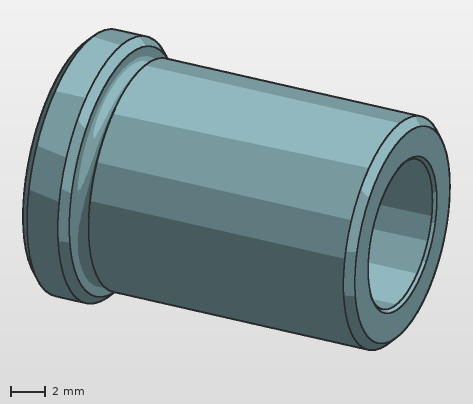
import cadquery as cq

length = 21.0
head_diameter = 16.0
body_diameter = 14.0
bore_diameter = 9.0
head_length = 3.0

head_chamfer = 0.5
body_chamfer = 0.5
bore_chamfer = 0.19
groove_width = 1.0
groove_depth = 0.5

head_radius = head_diameter / 2
body_radius = body_diameter / 2
bore_radius = bore_diameter / 2
groove_radius = body_radius - groove_depth
groove_end = head_length + groove_width
groove_middle = head_length + groove_width / 2


def bushing_profile():
    """Half section as (axial position, radius), including the relief groove under the head."""
    return (
        cq.Workplane("XY")
        .moveTo(0, bore_radius + bore_chamfer)
        .lineTo(0, head_radius - head_chamfer)
        .lineTo(head_chamfer, head_radius)
        .lineTo(head_length - head_chamfer, head_radius)
        .lineTo(head_length, head_radius - head_chamfer)
        .lineTo(head_length, body_radius)
        .radiusArc((groove_middle, groove_radius), -groove_depth)
        .radiusArc((groove_end, body_radius), -groove_depth)
        .lineTo(length - body_chamfer, body_radius)
        .lineTo(length, body_radius - body_chamfer)
        .lineTo(length, bore_radius + bore_chamfer)
        .lineTo(length - bore_chamfer, bore_radius)
        .lineTo(bore_chamfer, bore_radius)
        .close()
    )


result = bushing_profile().revolve(360, (0, 0, 0), (1, 0, 0))